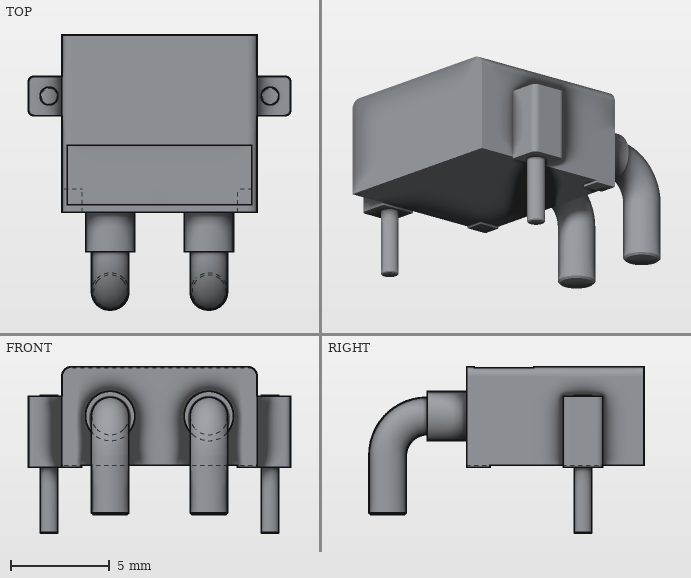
import cadquery as cq

BODY_WIDTH = 9.9
BODY_LENGTH = 9.0
BODY_HEIGHT = 5.0
BODY_EDGE_RADIUS = 0.5
FOOT_HEIGHT = 0.1
FOOT_WIDTH = 1.0
FOOT_LENGTH = 1.2
TOP_Z = FOOT_HEIGHT + BODY_HEIGHT

LABEL_LENGTH = 3.0
LABEL_FRONT_MARGIN = 0.4
LABEL_DEPTH = 0.05

OVERALL_WIDTH = 13.3
EAR_LENGTH = 2.0
EAR_HEIGHT = 3.6
EAR_CORNER_RADIUS = 0.3
EAR_BACK_OFFSET = 3.1
EAR_Y = BODY_LENGTH - EAR_BACK_OFFSET
PIN_DIAMETER = 0.9
PIN_X = 5.6
PIN_DROP = 3.35
PIN_PROUD = 0.05
PIN_CHAMFER = 0.05

CONTACT_PITCH = 5.0
CONTACT_X = CONTACT_PITCH / 2
CONTACT_Z = 2.6
CONTACT_DIAMETER = 1.9
BEND_RADIUS = 2.0
CONTACT_DROP = 2.4
CONTACT_CHAMFER = 0.1
COLLAR_DIAMETER = 2.5
COLLAR_LENGTH = 2.0

SIDES = (-1, 1)


def make_body():
    """Block with rounded long top edges and a label area stepped down across them."""
    block = (
        cq.Workplane("XY")
        .box(BODY_WIDTH, BODY_LENGTH, BODY_HEIGHT, centered=(True, False, False))
        .translate((0, 0, FOOT_HEIGHT))
        .edges("|Y and >Z")
        .fillet(BODY_EDGE_RADIUS)
    )
    label = (
        cq.Workplane("XY")
        .box(BODY_WIDTH, LABEL_LENGTH, LABEL_DEPTH, centered=(True, False, False))
        .translate((0, LABEL_FRONT_MARGIN, TOP_Z - LABEL_DEPTH))
    )
    return block.cut(label)


def make_foot(side):
    """Low pad under a front corner of the body."""
    centre_x = side * (BODY_WIDTH - FOOT_WIDTH) / 2
    return (
        cq.Workplane("XY")
        .center(centre_x, FOOT_LENGTH / 2)
        .rect(FOOT_WIDTH, FOOT_LENGTH)
        .extrude(FOOT_HEIGHT)
    )


def make_ears():
    """Bar whose ends stand out of both body sides as ears."""
    bar = (
        cq.Workplane("XY")
        .center(0, EAR_Y)
        .rect(OVERALL_WIDTH, EAR_LENGTH)
        .extrude(EAR_HEIGHT)
        .edges("|Z")
        .fillet(EAR_CORNER_RADIUS)
    )
    gap_under_body = (
        cq.Workplane("XY").center(0, EAR_Y).rect(BODY_WIDTH, EAR_LENGTH).extrude(FOOT_HEIGHT)
    )
    return bar.cut(gap_under_body)


def make_pin(side):
    """Straight pin through an ear, chamfered at its lower end."""
    return (
        cq.Workplane("XY")
        .workplane(offset=-PIN_DROP)
        .center(side * PIN_X, EAR_Y)
        .circle(PIN_DIAMETER / 2)
        .extrude(PIN_DROP + EAR_HEIGHT + PIN_PROUD)
        .faces("<Z")
        .chamfer(PIN_CHAMFER)
    )


def make_contact(side):
    """Collar with a round contact that bends down to a straight tail."""
    front_face = cq.Workplane("XZ").center(side * CONTACT_X, CONTACT_Z)
    collar = front_face.circle(COLLAR_DIAMETER / 2).extrude(COLLAR_LENGTH)
    bend = (
        front_face.workplane(offset=COLLAR_LENGTH)
        .circle(CONTACT_DIAMETER / 2)
        .revolve(90, (-1, -BEND_RADIUS), (1, -BEND_RADIUS))
    )
    bend_end_z = CONTACT_Z - BEND_RADIUS
    tail = (
        cq.Workplane("XY")
        .workplane(offset=-CONTACT_DROP)
        .center(side * CONTACT_X, -COLLAR_LENGTH - BEND_RADIUS)
        .circle(CONTACT_DIAMETER / 2)
        .extrude(CONTACT_DROP + bend_end_z)
        .faces("<Z")
        .chamfer(CONTACT_CHAMFER)
    )
    return collar.union(bend).union(tail)


result = make_body().union(make_ears())
for side in SIDES:
    result = result.union(make_foot(side))
    result = result.union(make_pin(side))
    result = result.union(make_contact(side))